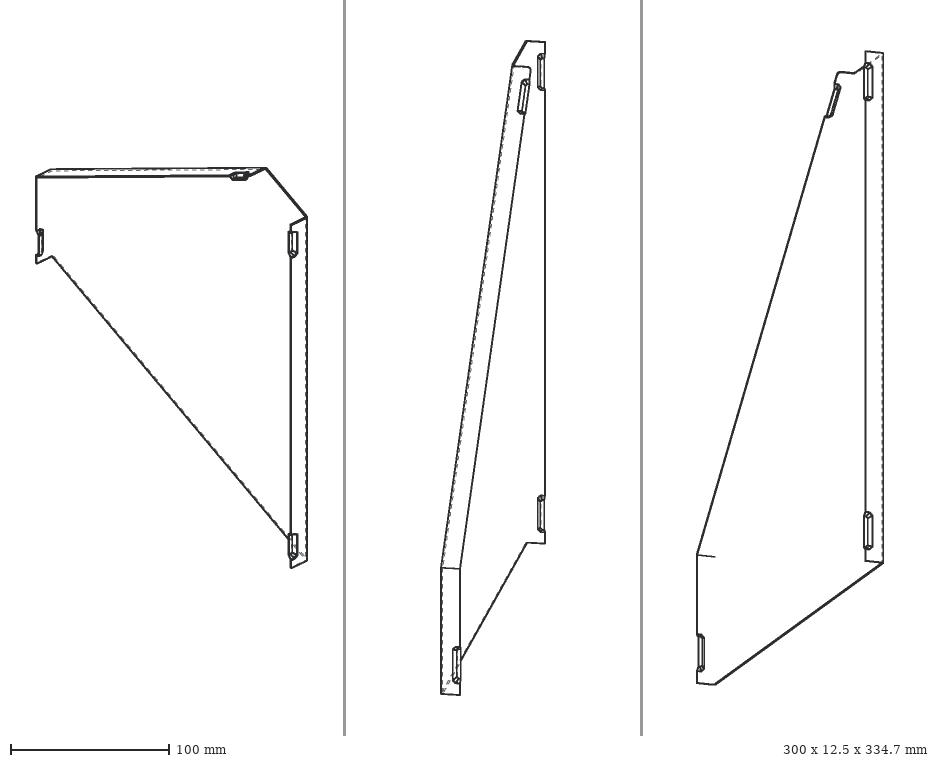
import cadquery as cq
import math

width = 300.0
depth = 12.5
height = 334.7
left_height = 84.5
sheet = 1.0
bend_radius = 1.5
inner_bend_radius = bend_radius - sheet

emboss_length = 24.5
emboss_depth = 4.7
emboss_offset = 2.7
emboss_taper = 2.5
emboss_corner = 2.0
flange_corner_radius = 2.5
emboss_end_gap = 7.7
slope_end_gap = 8.7

slope_rise = height - left_height
slope_top_x = slope_rise
diagonal = math.sqrt(0.5)
slope_inward = (diagonal, -diagonal)
emboss_center = emboss_end_gap + emboss_length / 2
slope_emboss_center = slope_end_gap + emboss_length / 2


def make_tray():
    """Flat back sheet at +Y with flanges on the left, sloping and right edges."""
    outline = [(0, 0), (width, 0), (width, height), (slope_top_x, height), (0, left_height)]
    tray = cq.Workplane("XZ").polyline(outline).close().extrude(depth)
    tray = tray.faces(">Y").edges("not(<Z or >Z)").fillet(bend_radius)

    corner_shift = sheet * math.tan(math.radians(45 / 2))
    slope_shift = sheet / diagonal
    cavity_outline = [
        (sheet, 0),
        (width - sheet, 0),
        (width - sheet, height),
        (slope_top_x + slope_shift, height),
        (sheet, left_height - corner_shift),
    ]
    cavity = (
        cq.Workplane("XZ", origin=(0, -sheet, 0))
        .polyline(cavity_outline).close().extrude(depth - sheet)
        .faces(">Y").edges("not(<Z or >Z)").fillet(inner_bend_radius)
    )
    return tray.cut(cavity)


def flange_plane(x, z, inward):
    """Plane on an outer flange face at its free edge; local Y points to the back sheet."""
    inward_x, inward_z = inward
    return cq.Plane(
        origin=(x, -depth, z),
        xDir=(inward_z, 0, -inward_x),
        normal=(inward_x, 0, inward_z),
    )


def trim_slope_flange(body):
    """Square off the top end of the sloping flange and round its free corner."""
    plane = flange_plane(slope_top_x, height, slope_inward)
    arc_inset = flange_corner_radius * (1 - diagonal)
    waste = (
        cq.Workplane(plane)
        .moveTo(-sheet, 0).lineTo(flange_corner_radius, 0)
        .threePointArc((arc_inset, arc_inset), (0, flange_corner_radius))
        .lineTo(0, depth - bend_radius).lineTo(-sheet, depth - bend_radius)
        .close().extrude(sheet)
    )
    return body.cut(waste)


def emboss_outline(length, reach, corner):
    """Points of an emboss outline with its two inner corners chamfered."""
    half = length / 2
    return [
        (-half, 0),
        (half, 0),
        (half, reach - corner),
        (half - corner, reach),
        (corner - half, reach),
        (-half, reach - corner),
    ]


def emboss_block(center, inward, start):
    """Tapered block stepping inward from a flange, open at the free edge.

    center is the (x, z) middle of the emboss on the outer flange face,
    inward the (x, z) unit vector into the part, start the inward shift.
    """
    inward_x, inward_z = inward
    plane = flange_plane(center[0] + start * inward_x, center[1] + start * inward_z, inward)
    top_outline = emboss_outline(
        emboss_length - 2 * emboss_taper,
        emboss_depth - emboss_taper,
        emboss_corner / 2,
    )
    return (
        cq.Workplane(plane)
        .polyline(emboss_outline(emboss_length, emboss_depth, emboss_corner)).close()
        .workplane(offset=emboss_offset)
        .polyline(top_outline).close()
        .loft(ruled=True)
    )


def add_emboss(body, center, inward):
    """Push one recess into a flange while keeping the sheet thickness."""
    bump = emboss_block(center, inward, sheet)
    recess = emboss_block(center, inward, 0)
    return body.union(bump).cut(recess)


slope_center = (
    slope_top_x - slope_emboss_center * diagonal,
    height - slope_emboss_center * diagonal,
)
embosses = [
    ((0, emboss_center), (1, 0)),
    ((width, emboss_center), (-1, 0)),
    ((width, height - emboss_center), (-1, 0)),
    (slope_center, slope_inward),
]

result = trim_slope_flange(make_tray())
for emboss_position, inward_direction in embosses:
    result = add_emboss(result, emboss_position, inward_direction)